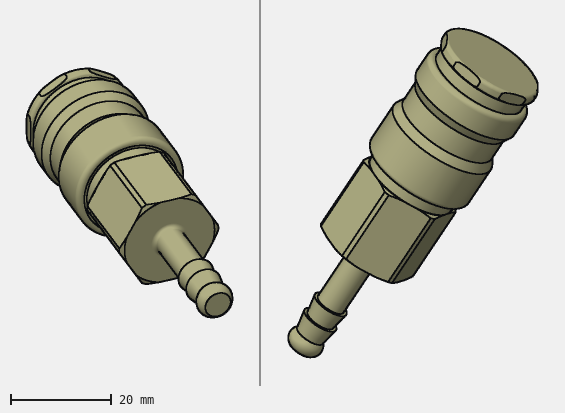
import cadquery as cq
import math

total_length = 73.5

collar_width = 2.5
collar_diameter = 22.0
collar_round = 0.8
collar_flats_across = 21.0

front_neck_diameter = 20.1
rear_neck_diameter = 18.95

sleeve_start = 5.2
sleeve_end = 28.75
sleeve_diameter = 23.15
sleeve_round = 1.0
waist_diameter = 21.0
waist_start = 12.4
waist_end = 17.3
waist_slope_length = 2.0

hexagon_start = 31.45
hexagon_end = 48.6
hexagon_across_flats = 18.95
hexagon_corner_diameter = 21.3
hexagon_end_diameter = 19.3
hexagon_chamfer_angle = 20

stem_diameter = 6.1
stem_root_round = 0.8
barb_start = 62.1
barb_pitch = 4.0
barb_count = 2
barb_diameter = 7.5
bulb_crest = 71.6
stem_end_diameter = 5.45

flat_count = 6
flat_angle = 360 / flat_count


def revolve_about_x(outline):
    """Close an outline drawn as (x, radius) and turn it about the X axis."""
    return outline.close().revolve(360, (0, 0, 0), (1, 0, 0))


def cylinder_along_x(start, end, diameter):
    return cq.Workplane("YZ", origin=(start, 0, 0)).circle(diameter / 2).extrude(end - start)


def hexagonal_prism(start, end, across_flats, turn):
    """Hexagon along X with a corner on Y, turned about X by the given angle."""
    corner_diameter = across_flats / math.cos(math.pi / flat_count)
    prism = cq.Workplane("YZ", origin=(start, 0, 0)).polygon(flat_count, corner_diameter).extrude(end - start)
    return prism.rotate((0, 0, 0), (1, 0, 0), turn)


def make_collar():
    disc = cylinder_along_x(0, collar_width, collar_diameter).edges().fillet(collar_round)
    return disc.intersect(hexagonal_prism(0, collar_width, collar_flats_across, flat_angle / 2))


def make_hexagon():
    """Hexagon with rounded corners, its two ends turned down to a cone."""
    corner_radius = hexagon_corner_diameter / 2
    end_radius = hexagon_end_diameter / 2
    chamfer_length = (corner_radius - end_radius) * math.tan(math.radians(hexagon_chamfer_angle))
    blank = revolve_about_x(
        cq.Workplane("XY")
        .moveTo(hexagon_start, 0)
        .lineTo(hexagon_start, end_radius)
        .lineTo(hexagon_start + chamfer_length, corner_radius)
        .lineTo(hexagon_end - chamfer_length, corner_radius)
        .lineTo(hexagon_end, end_radius)
        .lineTo(hexagon_end, 0)
    )
    return blank.intersect(hexagonal_prism(hexagon_start, hexagon_end, hexagon_across_flats, 0))


def make_stem():
    """Hose stem with a rounded root, saw-tooth barbs and a bulbous tip."""
    stem_radius = stem_diameter / 2
    barb_radius = barb_diameter / 2
    root_slant = stem_root_round * (1 - math.sqrt(0.5))
    outline = (
        cq.Workplane("XY")
        .moveTo(hexagon_end, 0)
        .lineTo(hexagon_end, stem_radius + stem_root_round)
        .threePointArc(
            (hexagon_end + root_slant, stem_radius + root_slant),
            (hexagon_end + stem_root_round, stem_radius),
        )
        .lineTo(barb_start, stem_radius)
    )
    for i in range(barb_count):
        start = barb_start + i * barb_pitch
        outline = (
            outline.lineTo(start, barb_radius)
            .lineTo(start + barb_pitch, stem_radius)
        )
    outline = outline.threePointArc(
        (bulb_crest, barb_radius), (total_length, stem_end_diameter / 2)
    ).lineTo(total_length, 0)
    return revolve_about_x(outline)


def make_body():
    front_neck = cylinder_along_x(collar_width, sleeve_end, front_neck_diameter)
    rear_neck = cylinder_along_x(sleeve_end, hexagon_start, rear_neck_diameter)
    return make_collar().union(front_neck).union(rear_neck).union(make_hexagon()).union(make_stem())


def make_sleeve():
    """Ring with rounded ends and a waist between two cones, bored to fit the front neck."""
    radius = sleeve_diameter / 2
    waist_radius = waist_diameter / 2
    bore_radius = front_neck_diameter / 2
    round_slant = sleeve_round * (1 - math.sqrt(0.5))
    return revolve_about_x(
        cq.Workplane("XY")
        .moveTo(sleeve_start, bore_radius)
        .lineTo(sleeve_start, radius - sleeve_round)
        .threePointArc((sleeve_start + round_slant, radius - round_slant), (sleeve_start + sleeve_round, radius))
        .lineTo(waist_start - waist_slope_length, radius)
        .lineTo(waist_start, waist_radius)
        .lineTo(waist_end, waist_radius)
        .lineTo(waist_end + waist_slope_length, radius)
        .lineTo(sleeve_end - sleeve_round, radius)
        .threePointArc((sleeve_end - round_slant, radius - round_slant), (sleeve_end, radius - sleeve_round))
        .lineTo(sleeve_end, bore_radius)
    )


body = make_body()
sleeve = make_sleeve()

result = cq.Compound.makeCompound([body.val(), sleeve.val()])